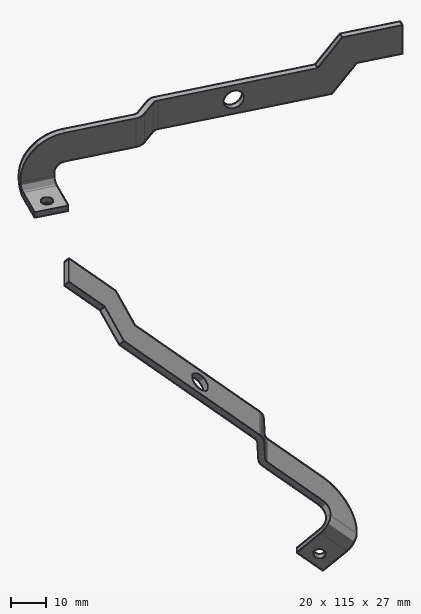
import cadquery as cq
import math

length = 115.0
overall_width = 20.0
height = 27.0

thickness = 2.0
strip_width = 10.0
bend_inner_radius = 2.1
bend_outer_radius = bend_inner_radius + thickness

step_height = 9.0
step_run = 7.4
rear_top_length = 17.8
rear_bottom_length = 13.6

jog_offset = 6.0
jog_angle = math.radians(45)
jog_start_y = 34.0

curve_inner_radius = 3.0
curve_outer_radius = curve_inner_radius + strip_width

strip_hole_diameter = 6.0
strip_hole_from_rear = 49.9
foot_hole_diameter = 3.5
foot_hole_from_edge = 4.0

strip_top = height - step_height
strip_bottom = strip_top - strip_width


def jogged_sheet():
    """Full-height sheet following the sideways jog, seen in plan."""
    half_turn = math.tan(jog_angle / 2)
    front_left = jog_offset
    front_right = jog_offset + thickness
    front_left_y = jog_start_y + bend_inner_radius * half_turn
    front_right_y = jog_start_y + bend_outer_radius * half_turn
    jog_run = jog_offset / math.tan(jog_angle)
    sheet = (
        cq.Workplane("XY")
        .moveTo(front_left, 0)
        .lineTo(front_left, front_left_y)
        .lineTo(0, front_left_y + jog_run)
        .lineTo(0, length)
        .lineTo(thickness, length)
        .lineTo(thickness, front_right_y + jog_run)
        .lineTo(front_right, front_right_y)
        .lineTo(front_right, 0)
        .close()
        .extrude(height)
    )

    def round_corner(body, x, y, radius):
        corner = cq.selectors.NearestToPointSelector((x, y, height / 2))
        return body.edges("|Z").edges(corner).fillet(radius)

    sheet = round_corner(sheet, front_left, front_left_y, bend_inner_radius)
    sheet = round_corner(sheet, front_right, front_right_y, bend_outer_radius)
    sheet = round_corner(sheet, 0, front_left_y + jog_run, bend_outer_radius)
    return round_corner(sheet, thickness, front_right_y + jog_run, bend_inner_radius)


def strip_outline():
    """Side outline of the strip, extruded across the whole width."""
    rear_top_y = length - rear_top_length
    rear_bottom_y = length - rear_bottom_length
    inner_curve_y = strip_width + curve_inner_radius
    return (
        cq.Workplane("YZ")
        .moveTo(0, bend_outer_radius)
        .lineTo(0, strip_top - curve_outer_radius)
        .radiusArc((curve_outer_radius, strip_top), curve_outer_radius)
        .lineTo(rear_top_y - step_run, strip_top)
        .lineTo(rear_top_y, height)
        .lineTo(length, height)
        .lineTo(length, height - strip_width)
        .lineTo(rear_bottom_y, height - strip_width)
        .lineTo(rear_bottom_y - step_run, strip_bottom)
        .lineTo(inner_curve_y, strip_bottom)
        .radiusArc((strip_width, strip_bottom - curve_inner_radius), -curve_inner_radius)
        .lineTo(strip_width, bend_outer_radius)
        .close()
        .extrude(overall_width)
    )


def strip_hole():
    return (
        cq.Workplane("YZ")
        .center(length - strip_hole_from_rear, strip_top - strip_width / 2)
        .circle(strip_hole_diameter / 2)
        .extrude(overall_width)
    )


def foot():
    """Bend and flat foot, with its hole."""
    bend_end_x = jog_offset + bend_outer_radius
    plate = (
        cq.Workplane("XZ")
        .moveTo(jog_offset, bend_outer_radius)
        .radiusArc((bend_end_x, 0), -bend_outer_radius)
        .lineTo(overall_width, 0)
        .lineTo(overall_width, thickness)
        .lineTo(bend_end_x, thickness)
        .radiusArc((jog_offset + thickness, bend_outer_radius), bend_inner_radius)
        .close()
        .extrude(-strip_width)
    )
    hole = (
        cq.Workplane("XY")
        .center(overall_width - foot_hole_from_edge, strip_width / 2)
        .circle(foot_hole_diameter / 2)
        .extrude(thickness)
    )
    return plate.cut(hole)


strip = jogged_sheet().intersect(strip_outline()).cut(strip_hole())
result = strip.union(foot())